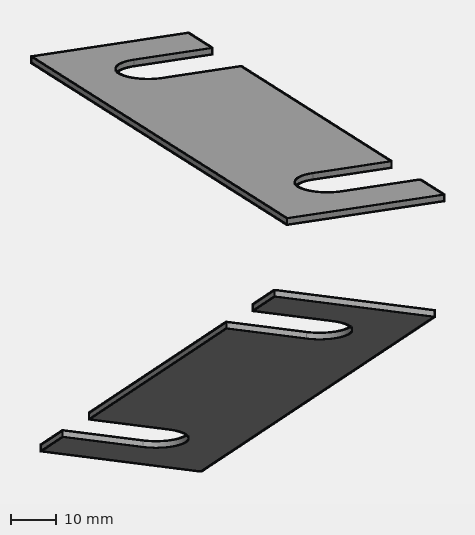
import cadquery as cq

length = 127.0
width = 38.1
thickness = 1.5

slot_width = 14.2
slot_spacing = 88.9
slot_depth = 26.2

slot_radius = slot_width / 2
back_edge = width / 2
slot_center_y = back_edge - slot_depth + slot_radius


def open_slot(center_x):
    """Cutting solid for one slot, with its round end towards -Y."""
    left = center_x - slot_radius
    right = center_x + slot_radius
    return (
        cq.Workplane("XY")
        .moveTo(left, back_edge)
        .lineTo(left, slot_center_y)
        .threePointArc((center_x, slot_center_y - slot_radius), (right, slot_center_y))
        .lineTo(right, back_edge)
        .close()
        .extrude(thickness)
    )


result = cq.Workplane("XY").box(length, width, thickness, centered=(True, True, False))
for side in (-1, 1):
    result = result.cut(open_slot(side * slot_spacing / 2))